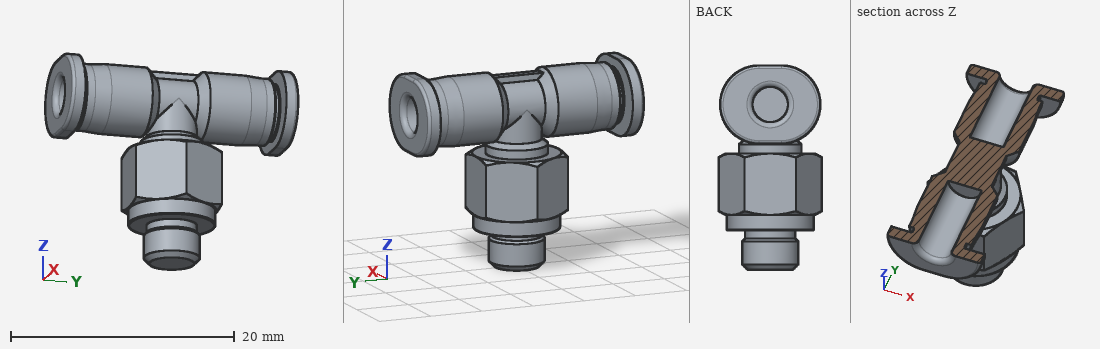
import cadquery as cq
import math


overall_length = 21.1
half_length = overall_length / 2
body_radius = 3.15
core_radius = 2.25
shoulder_outer_y = 2.7
shoulder_inner_y = shoulder_outer_y - (body_radius - core_radius)
taper_start_y = 6.52
taper_end_y = 8.0
collar_end_y = 8.86
collar_radius = 3.02
collar_chamfer = 0.1
sleeve_radius = 2.51
sleeve_chamfer = 0.1

button_height = 7.0
button_flat_length = 1.98
button_thickness = 1.18
button_round = 0.27
button_inner_y = half_length - button_thickness

socket_radius = 1.58
mouth_round = 0.5
socket_floor_y = shoulder_outer_y

rib_width = 0.97
rib_top_z = 2.8

boss_radius = 2.8
boss_top_z = -3.57
stem_bottom_z = -3.08
hex_top_z = -4.39
hex_bottom_z = -9.87
washer_radius = 3.9
washer_chamfer = 0.08
washer_bottom_z = -11.27
undercut_radius = 2.25
undercut_bottom_z = -11.98
thread_radius = 2.51
thread_top_z = undercut_bottom_z - (thread_radius - undercut_radius)
thread_end_chamfer = 0.5
branch_bottom_z = -14.8

hex_across_corners = 9.25
hex_inradius = hex_across_corners / 2 * math.cos(math.radians(30))
hex_corner_drop = 0.34


def turned_along_y(profile):
    """Revolve (radius, y) points around the Y axis."""
    return cq.Workplane("XY").polyline(profile).close().revolve(360, (0, 0, 0), (0, 1, 0))


def turned_along_z(profile):
    """Revolve (radius, z) points around the Z axis."""
    return cq.Workplane("XZ").polyline(profile).close().revolve(360, (0, 0, 0), (0, 1, 0))


def run_half():
    """Turned body from the centre of the tee out to the +Y button."""
    return turned_along_y([
        (0, 0),
        (core_radius, 0),
        (core_radius, shoulder_inner_y),
        (body_radius, shoulder_outer_y),
        (body_radius, taper_start_y),
        (collar_radius, taper_end_y),
        (collar_radius, collar_end_y - collar_chamfer),
        (collar_radius - collar_chamfer, collar_end_y),
        (sleeve_radius, collar_end_y),
        (sleeve_radius, button_inner_y - sleeve_chamfer),
        (sleeve_radius + sleeve_chamfer, button_inner_y),
        (0, button_inner_y),
    ])


def button():
    """Obround button at the +Y end, rounded around its outer face."""
    return (
        cq.Workplane("XZ", origin=(0, half_length, 0))
        .slot2D(button_flat_length + button_height, button_height)
        .extrude(button_thickness)
        .faces(">Y")
        .edges()
        .fillet(button_round)
    )


def socket():
    """Cutter for the +Y tube socket, flaring in a quarter round to the outer face."""
    mouth_start_y = half_length - mouth_round
    bend = mouth_round * math.sin(math.radians(45))
    return (
        cq.Workplane("XY")
        .moveTo(0, socket_floor_y)
        .lineTo(socket_radius, socket_floor_y)
        .lineTo(socket_radius, mouth_start_y)
        .threePointArc(
            (socket_radius + mouth_round - bend, mouth_start_y + bend),
            (socket_radius + mouth_round, half_length),
        )
        .lineTo(0, half_length)
        .close()
        .revolve(360, (0, 0, 0), (0, 1, 0))
    )


def rib():
    """Flat-topped rib on the core, its ends buried in the two shoulders."""
    return cq.Workplane("XY").rect(rib_width, 2 * shoulder_outer_y).extrude(rib_top_z)


def stem():
    """Round stem of the branch, as wide as the core, with the boss below it."""
    return turned_along_z([
        (0, 0),
        (core_radius, 0),
        (core_radius, stem_bottom_z),
        (boss_radius, boss_top_z),
        (boss_radius, hex_top_z),
        (0, hex_top_z),
    ])


def hexagon():
    """Wrench hexagon with its corners turned off conically at both ends."""
    corner_radius = hex_across_corners / 2
    prism = (
        cq.Workplane("XY", origin=(0, 0, hex_bottom_z))
        .polygon(6, hex_across_corners)
        .extrude(hex_top_z - hex_bottom_z)
    )
    envelope = turned_along_z([
        (0, hex_top_z),
        (hex_inradius, hex_top_z),
        (corner_radius, hex_top_z - hex_corner_drop),
        (corner_radius, hex_bottom_z + hex_corner_drop),
        (hex_inradius, hex_bottom_z),
        (0, hex_bottom_z),
    ])
    return prism.intersect(envelope)


def threaded_end():
    """Sealing washer, undercut and plain thread cylinder below the hexagon."""
    return turned_along_z([
        (0, hex_bottom_z),
        (washer_radius, hex_bottom_z),
        (washer_radius, washer_bottom_z + washer_chamfer),
        (washer_radius - washer_chamfer, washer_bottom_z),
        (undercut_radius, washer_bottom_z),
        (undercut_radius, undercut_bottom_z),
        (thread_radius, thread_top_z),
        (thread_radius, branch_bottom_z + thread_end_chamfer),
        (thread_radius - thread_end_chamfer, branch_bottom_z),
        (0, branch_bottom_z),
    ])


run_end = run_half().union(button()).cut(socket())
run = run_end.union(run_end.mirror("XZ"))
branch = stem().union(hexagon()).union(threaded_end())

result = run.union(rib()).union(branch)